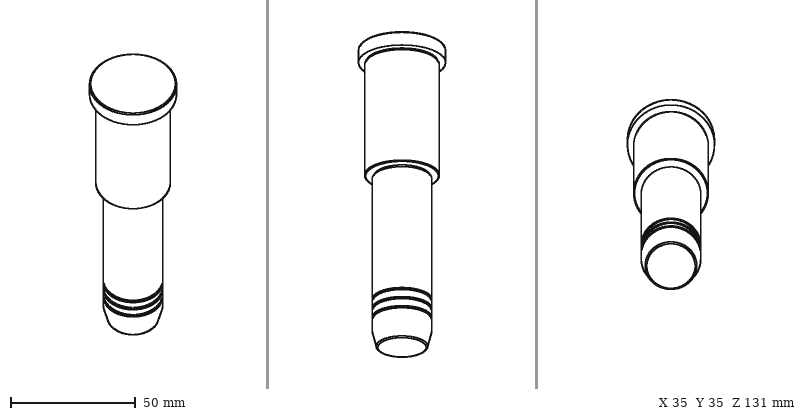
import cadquery as cq

length = 131.0
head_radius = 17.49
head_height = 6.0
head_chamfer = 0.5

shank_radius = 15.0
shank_bottom = 75.2
shank_chamfer = 0.4
relief_radius = 14.5
relief_height = 0.9

pin_radius = 11.99
neck_radius = 11.1
neck_height = 1.2

tip_height = 7.1
tip_radius = 10.2
tip_chamfer = 0.5

groove_count = 3
first_groove_center = 12.6
groove_spacing = 4.0
groove_width = 0.9
groove_depth = 0.4


def cylinder(radius, bottom, top):
    return cq.Workplane("XY").workplane(offset=bottom).circle(radius).extrude(top - bottom)


def cone(bottom_radius, top_radius, bottom, top):
    return (
        cq.Workplane("XY").workplane(offset=bottom).circle(bottom_radius)
        .workplane(offset=top - bottom).circle(top_radius).loft(ruled=True)
    )


def ring_groove(center):
    bottom = center - groove_width / 2
    top = center + groove_width / 2
    floor_radius = pin_radius - groove_depth
    outline = [
        (pin_radius, bottom),
        (floor_radius, bottom + groove_depth),
        (floor_radius, top),
        (pin_radius, top),
    ]
    return cq.Workplane("XZ").polyline(outline).close().revolve(360, (0, 0), (0, 1))


head_bottom = length - head_height
relief_bottom = head_bottom - relief_height
relief_cone_top = relief_bottom + shank_radius - relief_radius
neck_bottom = shank_bottom - neck_height

head = cylinder(head_radius, head_bottom, length).faces(">Z").edges().chamfer(head_chamfer)
relief = cone(shank_radius, relief_radius, relief_bottom, relief_cone_top)
relief = relief.union(cylinder(relief_radius, relief_cone_top, head_bottom))
shank = cylinder(shank_radius, shank_bottom, relief_bottom).faces("<Z").edges().chamfer(shank_chamfer)
neck = cone(pin_radius, neck_radius, neck_bottom, shank_bottom)
pin = cylinder(pin_radius, tip_height, neck_bottom)
tip = cone(tip_radius, pin_radius, 0, tip_height).faces("<Z").edges().chamfer(tip_chamfer)

result = head.union(relief).union(shank).union(neck).union(pin).union(tip)

for index in range(groove_count):
    result = result.cut(ring_groove(first_groove_center + index * groove_spacing))